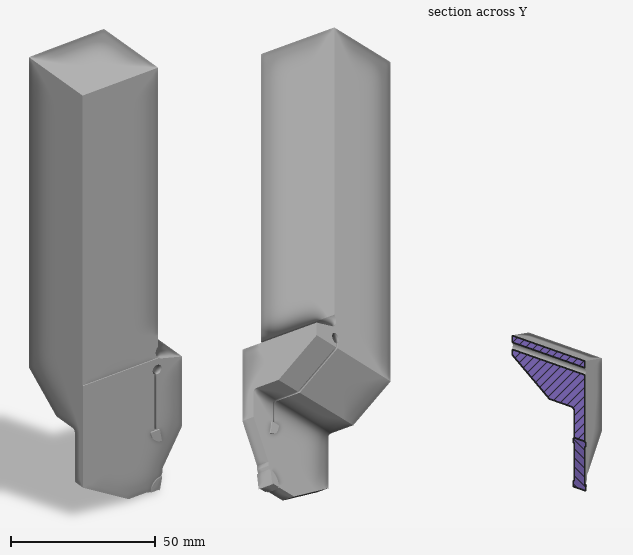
import cadquery as cq

total_height = 170
shank_depth = 32.1
head_depth = 42.2
shank_right = 32.1
head_right = 32.5
head_top = 53.2
side_draft = 0.3

blade_left = 27.5
blade_shoulder = 33.3
shoulder_left = 16.7
bevel_top = 45.4
shoulder_fillet = 1.2
blade_bottom = 0.8
nose_y = 19.4
nose_top = 12.2

jaw_top = 50.3
jaw_bottom = 22.5
relief_start = (shank_depth, 57.6)
relief_middle = (31.1, 55.2)
relief_end = (33.2, 52.7)

slot_y = 30.8
slot_width = 1.0
slot_hole_y = 31.5
slot_hole_z = 48.8
slot_hole_radius = 1.9

insert_front = 27.7
insert_back = 33.8
insert_top = 24.6
insert_foot = 0.5
edge_y = 32.3
edge_land = 0.5
rake_end_y = 33.3
rake_step = 1.2
rake_height = 5.6
jaw_tip = 8.3
tip_overhang = 0.5
tip_radius = 5.0
tip_center_y = 33.5


def extrude_x(sketch, left, right):
    """Extrude an outline drawn in the YZ plane between two X positions."""
    return sketch.extrude(right - left).translate((left, 0, 0))


def side_outline():
    """Outline of the holder in the YZ plane."""
    return (
        cq.Workplane("YZ")
        .moveTo(0, total_height)
        .lineTo(shank_depth, total_height)
        .lineTo(*relief_start)
        .threePointArc(relief_middle, relief_end)
        .lineTo(head_depth, jaw_top)
        .lineTo(head_depth, jaw_bottom)
        .lineTo(insert_back, jaw_tip)
        .lineTo(edge_y - edge_land, blade_bottom)
        .lineTo(nose_y, blade_bottom)
        .lineTo(0, nose_top)
        .close()
    )


def front_envelope():
    """Stepped shank and blade outline, swept through the full depth."""
    envelope = (
        cq.Workplane("XZ")
        .moveTo(0, total_height)
        .lineTo(shank_right, total_height)
        .lineTo(shank_right, head_top)
        .lineTo(head_right, head_top)
        .lineTo(head_right, 0)
        .lineTo(blade_left, 0)
        .lineTo(blade_left, blade_shoulder)
        .lineTo(shoulder_left, blade_shoulder)
        .lineTo(0, bevel_top)
        .close()
        .extrude(-head_depth)
    )
    corner = cq.selectors.NearestToPointSelector((blade_left, head_depth / 2, blade_shoulder))
    return envelope.edges(corner).fillet(shoulder_fillet)


def draft_wedge():
    """Thin wedge removed from the left face, thickest at the front."""
    return (
        cq.Workplane("XY")
        .polyline([(0, 0), (side_draft, 0), (0, head_depth)])
        .close()
        .extrude(total_height)
    )


def clamping_slot():
    """Round hole and the narrow slot that runs down from it to the insert."""
    hole = cq.Workplane("YZ").center(slot_hole_y, slot_hole_z).circle(slot_hole_radius)
    slot_height = slot_hole_z - insert_top
    slot = cq.Workplane("YZ").center(slot_y, insert_top + slot_height / 2).rect(slot_width, slot_height)
    return extrude_x(hole, 0, head_right).union(extrude_x(slot, 0, head_right))


def insert_blank(left, right):
    """Insert side profile extruded between two X positions."""
    outline = (
        cq.Workplane("YZ")
        .polyline([
            (insert_front, insert_foot),
            (edge_y - edge_land, insert_foot),
            (edge_y, 0),
            (rake_end_y, rake_height),
            (insert_back, rake_height + rake_step),
            (insert_back, insert_top - rake_height - rake_step),
            (rake_end_y, insert_top - rake_height),
            (edge_y, insert_top),
            (insert_front, insert_top),
        ])
        .close()
    )
    return extrude_x(outline, left, right)


def make_insert():
    """Blade-width insert with a wider cutting tip at each end."""
    tip_left = blade_left - tip_overhang
    tip_right = head_right + tip_overhang
    insert = insert_blank(blade_left, head_right)
    for tip_z in (insert_foot, insert_top):
        tip_disc = cq.Workplane("YZ").center(tip_center_y, tip_z).circle(tip_radius)
        tip = insert_blank(tip_left, tip_right).intersect(extrude_x(tip_disc, tip_left, tip_right))
        insert = insert.union(tip)
    return insert


def make_holder():
    """Shank, head and blade with the clamping slot and the insert seat."""
    holder = extrude_x(side_outline(), 0, head_right).intersect(front_envelope())
    return (
        holder.cut(draft_wedge())
        .cut(clamping_slot())
        .cut(insert_blank(blade_left, head_right))
    )


holder = make_holder()
insert = make_insert()
result = cq.Compound.makeCompound([holder.val(), insert.val()])